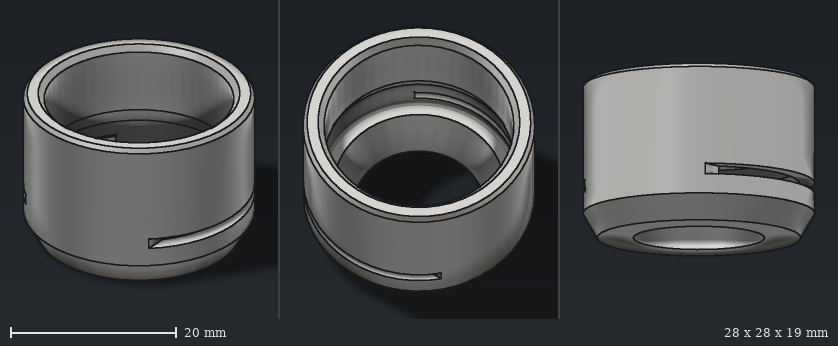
import cadquery as cq

outer_radius = 14.0
height = 19.0
top_chamfer = 0.5
nose_radius = 12.3
nose_height = 3.0

bore_radius = 11.45
cavity_radius = 12.1
mouth_chamfer = 0.73
bore_bottom = 10.3
cavity_cone_bottom = 8.48
floor_height = 4.5
floor_fillet = 0.4
throat_top_radius = 10.3
throat_bottom_radius = 7.9

slot_bottom = 5.38
slot_height = 1.3
slot_inner_distance = 9.25


def make_sleeve():
    """Revolve the wall profile, drawn as radius against height."""
    profile = (
        cq.Workplane("XZ")
        .moveTo(throat_bottom_radius, 0)
        .lineTo(nose_radius, 0)
        .lineTo(outer_radius, nose_height)
        .lineTo(outer_radius, height - top_chamfer)
        .lineTo(outer_radius - top_chamfer, height)
        .lineTo(bore_radius + mouth_chamfer, height)
        .lineTo(bore_radius, height - mouth_chamfer)
        .lineTo(bore_radius, bore_bottom)
        .lineTo(cavity_radius, cavity_cone_bottom)
        .lineTo(cavity_radius, floor_height + floor_fillet)
        .radiusArc((cavity_radius - floor_fillet, floor_height), floor_fillet)
        .lineTo(throat_top_radius, floor_height)
        .close()
    )
    return profile.revolve(360, (0, 0, 0), (0, 1, 0))


def make_slot(side):
    """Make the cutter for the slot on the +X (1) or -X (-1) side."""
    return (
        cq.Workplane("XY")
        .box(outer_radius, 2 * outer_radius, slot_height, centered=(True, True, False))
        .translate((side * (slot_inner_distance + outer_radius / 2), 0, slot_bottom))
    )


result = make_sleeve()
for side in (-1, 1):
    result = result.cut(make_slot(side))